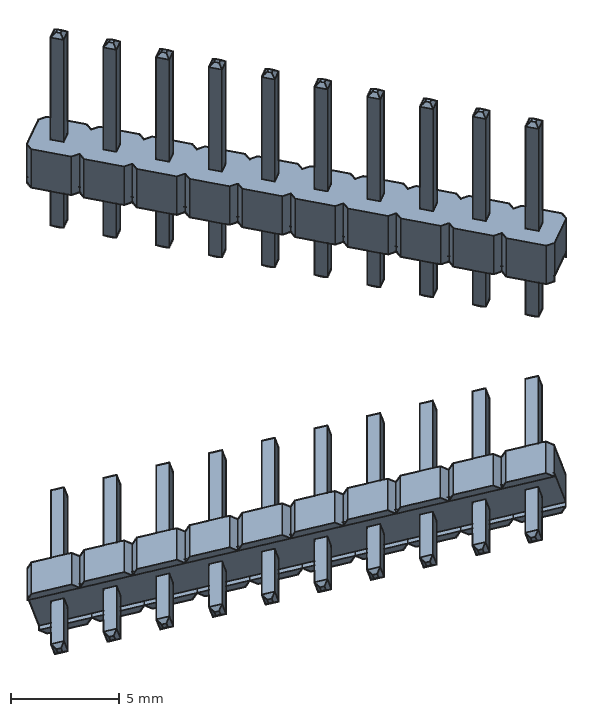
import cadquery as cq

pin_count = 10
row_length = 25.4
pitch = row_length / pin_count

body_width = 2.5
body_height = 2.29
corner_chamfer = 0.3
channel_width = 1.85
channel_depth = 0.3

pin_side = 0.64
pin_length = 11.53
pin_below_body = 3.0
pin_end_chamfer = 0.2

upright = (True, True, False)


def body_cell():
    """One pitch of the body: a block with its four vertical edges chamfered."""
    block = cq.Workplane("XY").box(pitch, body_width, body_height, centered=upright)
    return block.edges("|Z").chamfer(corner_chamfer)


def pin():
    """Square pin with all edges of both ends chamfered."""
    shank = cq.Workplane("XY", origin=(0, 0, -pin_below_body)).box(
        pin_side, pin_side, pin_length, centered=upright
    )
    return shank.faces("<Z or >Z").chamfer(pin_end_chamfer)


pin_positions = [((i - (pin_count - 1) / 2) * pitch, 0, 0) for i in range(pin_count)]

body = cq.Workplane("XY")
for position in pin_positions:
    body = body.union(body_cell().translate(position))

channel = cq.Workplane("XY").box(row_length, channel_width, channel_depth, centered=upright)
result = body.cut(channel)

for position in pin_positions:
    result = result.union(pin().translate(position))